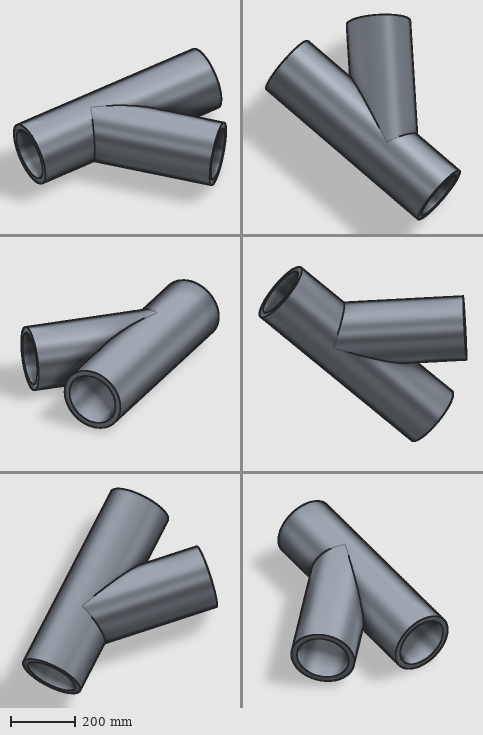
import cadquery as cq
import math

outer_diameter = 200.0
bore_diameter = 164.0
run_length = 632.0
junction_distance = 218.5
branch_length = 411.5
branch_angle = math.radians(45)

run_start = cq.Vector(0, -junction_distance, 0)
junction = cq.Vector(0, 0, 0)
run_direction = cq.Vector(0, 1, 0)
branch_direction = cq.Vector(math.sin(branch_angle), math.cos(branch_angle), 0)


def y_shape(diameter):
    """Solid run and branch cylinders of one diameter, joined together."""
    radius = diameter / 2
    run = cq.Solid.makeCylinder(radius, run_length, run_start, run_direction)
    branch = cq.Solid.makeCylinder(radius, branch_length, junction, branch_direction)
    return cq.Workplane(run).union(cq.Workplane(branch))


result = y_shape(outer_diameter).cut(y_shape(bore_diameter))